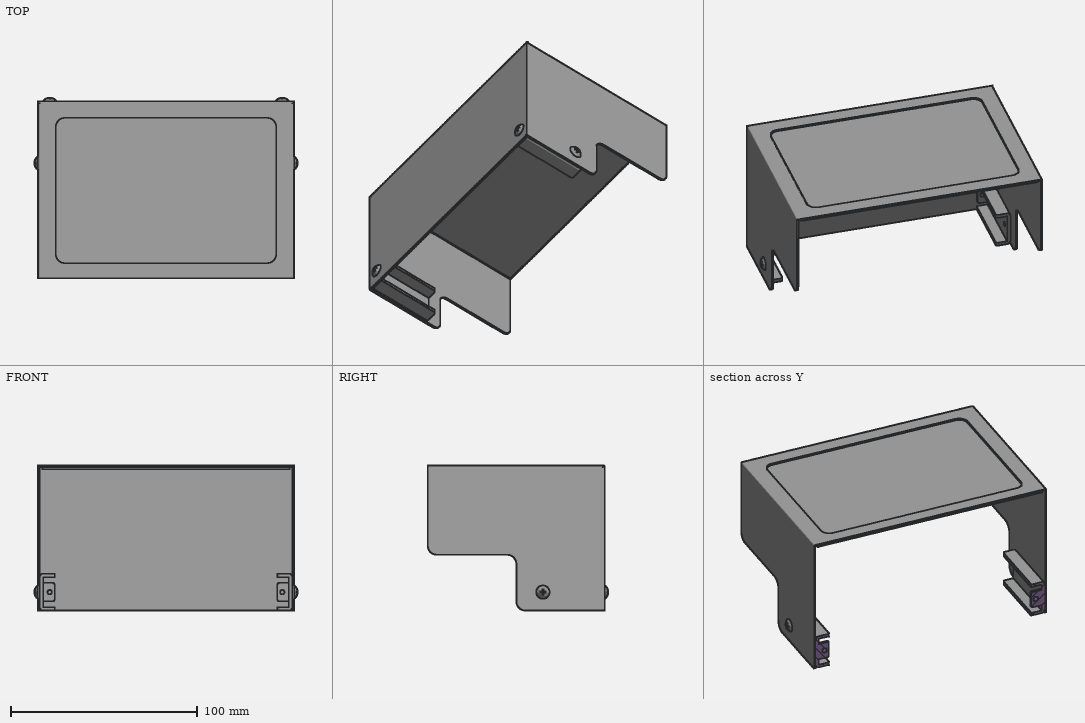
import cadquery as cq
import math

OVERALL_WIDTH = 141.3
OVERALL_DEPTH = 96.9

WIDTH = 137.5
HEIGHT = 78.0
WALL = 1.0
BEND_RADIUS = WALL
STEP_DEPTH = 47.5
STEP_HEIGHT = 30.0
SIDE_CORNER_RADIUS = 5.0

OPENING_WIDTH = 118.2
OPENING_DEPTH = 78.0
OPENING_BACK_MARGIN = 8.9
OPENING_RADIUS = 5.0
PANEL_OVERLAP = 7.3
PANEL_THICKNESS = 1.0
PANEL_RADIUS = 1.0

BRACKET_THICKNESS = 2.0
BRACKET_HEIGHT = 19.9
BRACKET_WIDTH = 8.0
BRACKET_DEPTH = 37.0
BRACKET_CORNER_RADIUS = 1.1
TAB_HEIGHT = 9.9

HEAD_DIAMETER = 7.2
SHANK_DIAMETER = 2.4
RECESS_LENGTH = 3.0
RECESS_WIDTH = 0.7
RECESS_DEPTH = 1.0
SIDE_SCREW_SETBACK = 33.2
BACK_SCREW_INSET = 6.4

HALF_WIDTH = WIDTH / 2
INNER_HALF_WIDTH = HALF_WIDTH - WALL
HEAD_HEIGHT = (OVERALL_WIDTH - WIDTH) / 2
DEPTH = OVERALL_DEPTH - HEAD_HEIGHT
HEAD_RADIUS = HEAD_DIAMETER / 2
SHANK_RADIUS = SHANK_DIAMETER / 2
SHANK_LENGTH = WALL + BRACKET_THICKNESS
SCREW_HEIGHT = BRACKET_HEIGHT / 2
OPENING_CENTER_Y = -OPENING_BACK_MARGIN - OPENING_DEPTH / 2
BACK_SCREW_X = HALF_WIDTH - BACK_SCREW_INSET
RIGHT, LEFT = 1, -1


def box(x_range, y_range, z_range):
    """Return an axis-aligned block that spans the three ranges."""
    ranges = (x_range, y_range, z_range)
    size = [high - low for low, high in ranges]
    corner = [low for low, high in ranges]
    return cq.Workplane("XY").box(*size, centered=False).translate(tuple(corner))


def rounded_plate(width, depth, thickness, radius, top_z):
    """Return a plate with rounded corners, centred on the top opening."""
    plate = cq.Workplane("XY").box(width, depth, thickness, centered=(True, True, False))
    return plate.edges("|Z").fillet(radius).translate((0, OPENING_CENTER_Y, top_z - thickness))


def make_screw():
    """Return a cross-recessed dome-head screw on the Z axis, its head seated on z = 0."""
    corner_radius = RECESS_WIDTH / math.sqrt(2)
    center_z = (HEAD_HEIGHT**2 + corner_radius**2 - HEAD_RADIUS**2) / (2 * HEAD_HEIGHT)
    dome_radius = math.hypot(HEAD_RADIUS, center_z)
    crown_z = center_z + dome_radius
    arc_angle = math.asin(HEAD_RADIUS / dome_radius) / 2
    arc_middle = (dome_radius * math.sin(arc_angle), center_z + dome_radius * math.cos(arc_angle))
    screw = (
        cq.Workplane("XZ")
        .moveTo(0, crown_z)
        .threePointArc(arc_middle, (HEAD_RADIUS, 0))
        .lineTo(SHANK_RADIUS, 0)
        .lineTo(SHANK_RADIUS, -SHANK_LENGTH)
        .lineTo(0, -SHANK_LENGTH)
        .close()
        .revolve(360, (0, 0, 0), (0, 1, 0))
    )
    recess_floor = cq.Workplane("XY").workplane(offset=HEAD_HEIGHT - RECESS_DEPTH)
    for length_x, length_y in ((RECESS_LENGTH, RECESS_WIDTH), (RECESS_WIDTH, RECESS_LENGTH)):
        screw = screw.cut(recess_floor.rect(length_x, length_y).extrude(HEAD_HEIGHT))
    return screw


def place_at_side(body, side):
    """Move a body from the Z axis to a screw place on a side wall, +Z pointing outwards."""
    turned = body.rotate((0, 0, 0), (0, 1, 0), side * 90)
    return turned.translate((side * HALF_WIDTH, -SIDE_SCREW_SETBACK, SCREW_HEIGHT))


def place_at_back(body, side):
    """Move a body from the Z axis to a screw place on the back wall, +Z pointing outwards."""
    turned = body.rotate((0, 0, 0), (1, 0, 0), -90)
    return turned.translate((side * BACK_SCREW_X, 0, SCREW_HEIGHT))


def cut_screw_holes(body, sides):
    """Cut the holes for the screw shanks on the given sides."""
    shank = cq.Workplane("XY").circle(SHANK_RADIUS).extrude(-SHANK_LENGTH)
    for side in sides:
        body = body.cut(place_at_side(shank, side)).cut(place_at_back(shank, side))
    return body


def make_housing():
    """Return the folded cover with its window opening and screw holes."""
    blank = (
        cq.Workplane("YZ")
        .polyline([
            (0, 0),
            (0, HEIGHT),
            (-DEPTH, HEIGHT),
            (-DEPTH, STEP_HEIGHT),
            (-STEP_DEPTH, STEP_HEIGHT),
            (-STEP_DEPTH, 0),
        ])
        .close()
        .extrude(HALF_WIDTH, both=True)
    )
    step_corners = cq.selectors.BoxSelector(
        (-WIDTH, -DEPTH - WALL, -WALL), (WIDTH, -STEP_DEPTH + WALL, STEP_HEIGHT + WALL)
    )
    blank = blank.edges("|X").edges(step_corners).fillet(SIDE_CORNER_RADIUS)
    blank = blank.edges("|X and >Y").fillet(BEND_RADIUS)

    for side in (LEFT, RIGHT):
        bend_x = side * (HALF_WIDTH - BEND_RADIUS)
        bend_z = HEIGHT - BEND_RADIUS
        corner = box(
            sorted((bend_x, side * HALF_WIDTH)), (-DEPTH, -BEND_RADIUS), (bend_z, HEIGHT)
        )
        bend = cq.Workplane("XZ").center(bend_x, bend_z).circle(BEND_RADIUS).extrude(DEPTH)
        blank = blank.cut(corner.cut(bend))

    inside = box((-INNER_HALF_WIDTH, INNER_HALF_WIDTH), (-DEPTH, -WALL), (0, HEIGHT - WALL))
    housing = blank.cut(inside)

    back_foot = box((-INNER_HALF_WIDTH, INNER_HALF_WIDTH), (-WALL, 0), (0, BEND_RADIUS))
    housing = housing.union(back_foot)

    opening = rounded_plate(OPENING_WIDTH, OPENING_DEPTH, WALL, OPENING_RADIUS, HEIGHT)
    return cut_screw_holes(housing.cut(opening), (LEFT, RIGHT))


def make_window_panel():
    """Return the plate that covers the opening from below."""
    return rounded_plate(
        OPENING_WIDTH + 2 * PANEL_OVERLAP,
        OPENING_DEPTH + 2 * PANEL_OVERLAP,
        PANEL_THICKNESS,
        PANEL_RADIUS,
        HEIGHT - WALL,
    )


def make_bracket(side):
    """Return a bracket with a side plate, two flanges and a tab on the back wall."""
    outer_x = INNER_HALF_WIDTH
    inner_x = outer_x - BRACKET_WIDTH
    back_y = -WALL
    front_y = back_y - BRACKET_DEPTH

    channel = box((inner_x, outer_x), (front_y, back_y), (0, BRACKET_HEIGHT))
    channel = channel.edges("|Y and >X").fillet(BRACKET_THICKNESS)
    channel = channel.edges("|Z and <X and <Y").fillet(BRACKET_CORNER_RADIUS)
    hollow = box(
        (inner_x, outer_x - BRACKET_THICKNESS),
        (front_y, back_y),
        (BRACKET_THICKNESS, BRACKET_HEIGHT - BRACKET_THICKNESS),
    )

    tab_bottom = (BRACKET_HEIGHT - TAB_HEIGHT) / 2
    tab = box(
        (inner_x, outer_x - BRACKET_THICKNESS),
        (back_y - BRACKET_THICKNESS, back_y),
        (tab_bottom, tab_bottom + TAB_HEIGHT),
    )
    tab = tab.edges("|Y and <X").fillet(BRACKET_CORNER_RADIUS)

    bracket = cut_screw_holes(channel.cut(hollow).union(tab), (RIGHT,))
    return bracket if side == RIGHT else bracket.mirror("YZ")


housing = make_housing()
window_panel = make_window_panel()
bodies = [housing, window_panel]
for side in (LEFT, RIGHT):
    bodies.append(make_bracket(side))
    bodies.append(place_at_side(make_screw(), side))
    bodies.append(place_at_back(make_screw(), side))

result = cq.Compound.makeCompound([body.solids().val() for body in bodies])